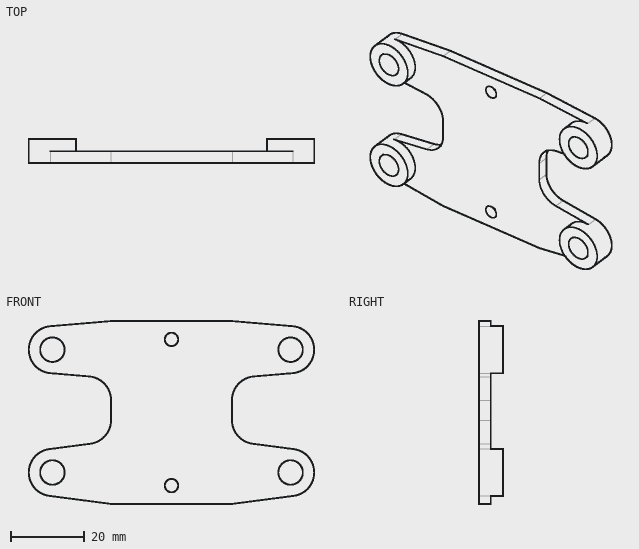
import cadquery as cq
import math

plate_thickness = 3.3
overall_height = 50.0
half_height = overall_height / 2
waist_half_width = 16.5
notch_radius = 6.5

overall_length = 77.95
boss_diameter = 12.95
boss_radius = boss_diameter / 2
boss_depth = 6.6
boss_hole_diameter = 6.6
boss_x = overall_length / 2 - boss_radius
upper_boss_z = 17.15
lower_boss_z = -16.4
boss_centers = [(x, z) for x in (-boss_x, boss_x) for z in (lower_boss_z, upper_boss_z)]

small_hole_diameter = 3.6
small_hole_z = 19.95
small_hole_centers = [(0, -small_hole_z), (0, small_hole_z)]


def extrude_to_back(sketch, depth):
    """Extrude an XZ sketch from the front face toward +Y."""
    return sketch.extrude(-depth)


def make_arms(boss_z):
    """Pair of arms, tapering from the waist to where they are tangent to the end bosses."""
    root_half_height = half_height - abs(boss_z)
    run = boss_x - waist_half_width
    root_distance = math.hypot(run, root_half_height)
    angle = math.atan2(root_half_height, run) + math.acos(boss_radius / root_distance)
    tangent_x = boss_x - boss_radius * math.cos(angle)
    tangent_z = boss_radius * math.sin(angle)
    outline = (
        cq.Workplane("XZ", origin=(0, 0, boss_z))
        .moveTo(-waist_half_width, root_half_height)
        .lineTo(waist_half_width, root_half_height)
        .lineTo(tangent_x, tangent_z)
        .lineTo(tangent_x, -tangent_z)
        .lineTo(waist_half_width, -root_half_height)
        .lineTo(-waist_half_width, -root_half_height)
        .lineTo(-tangent_x, -tangent_z)
        .lineTo(-tangent_x, tangent_z)
        .close()
    )
    return extrude_to_back(outline, plate_thickness)


def make_plate():
    """Waist block joined to both pairs of arms, with rounded side notches."""
    waist = extrude_to_back(
        cq.Workplane("XZ").rect(2 * waist_half_width, 2 * half_height), plate_thickness
    )
    plate = waist.union(make_arms(upper_boss_z)).union(make_arms(lower_boss_z)).clean()
    upper_root_z = 2 * upper_boss_z - half_height
    lower_root_z = 2 * lower_boss_z + half_height
    margin = 0.8
    notch_corners = cq.selectors.BoxSelector(
        (-waist_half_width - margin, -margin, lower_root_z - margin),
        (waist_half_width + margin, plate_thickness + margin, upper_root_z + margin),
    )
    return plate.edges("|Y").edges(notch_corners).fillet(notch_radius)


def make_cylinders(centers, diameter):
    """Cylinders along Y, as deep as the bosses."""
    return extrude_to_back(cq.Workplane("XZ").pushPoints(centers).circle(diameter / 2), boss_depth)


result = (
    make_plate()
    .union(make_cylinders(boss_centers, boss_diameter))
    .cut(make_cylinders(boss_centers, boss_hole_diameter))
    .cut(make_cylinders(small_hole_centers, small_hole_diameter))
)